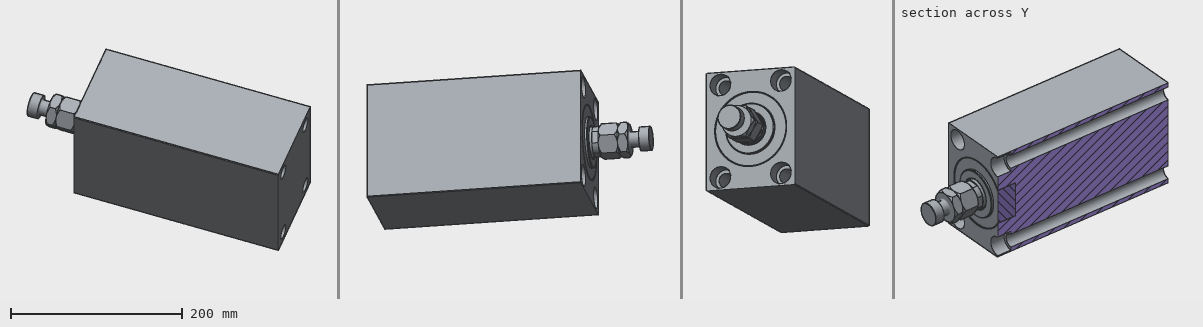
import cadquery as cq
import math

TOTAL_LENGTH = 326.0
WIDTH = 110.0
HEIGHT = 140.0
HOUSING_FRONT = 73.0
HOUSING_EDGE_CHAMFER = 1.0

BOLT_HOLE_DIAMETER = 17.3
BOLT_HEAD_DIAMETER = 25.5
BOLT_HEAD_DEPTH = 19.5
BOLT_SPACING_Y = 75.0
BOLT_SPACING_Z = 110.0

BUSH_DIAMETER = 87.5
BUSH_DEPTH = 26.0
BUSH_END = HOUSING_FRONT + BUSH_DEPTH
BUSH_MOUTH_CHAMFER = 1.0
COLLAR_DIAMETER = 60.3
COLLAR_FRONT = 69.8
COLLAR_CHAMFER = 1.0
WIPER_RECESS_DIAMETER = 38.8
WIPER_RECESS_DEPTH = 2.0
WIPER_RECESS_CHAMFER = 0.5

ROD_DIAMETER = 36.2
ROD_END_DIAMETER = 35.5
ROD_ACROSS_FLATS = 32.5
ROD_FRONT = 59.5
FLATS_END = 67.0

HEAD_DIAMETER = 28.5
HEAD_LENGTH = 12.5
HEAD_CHAMFER = 0.5
NECK_DIAMETER = 18.3
NECK_FILLET = 1.5
HEX_SIDES = 6
HEX_ACROSS_FLATS = 36.5
HEX_FRONT = 24.8
HEX_JOINT = 37.0


def cylinder_along_x(start, end, diameter):
    """Cylinder on the X axis from start to end."""
    return cq.Workplane("YZ", origin=(start, 0, 0)).circle(diameter / 2).extrude(end - start)


def chamfered_hexagon(start, end):
    """Hexagonal prism with flats facing +Z and -Z and its corners turned down at both ends."""
    across_corners = HEX_ACROSS_FLATS / math.cos(math.pi / HEX_SIDES)
    corner_drop = (across_corners - HEX_ACROSS_FLATS) / 2
    prism = cq.Workplane("YZ", origin=(start, 0, 0)).polygon(HEX_SIDES, across_corners).extrude(end - start)
    turned = cylinder_along_x(start, end, across_corners).faces("<X or >X").chamfer(corner_drop)
    return prism.intersect(turned)


def flared_recess(start, depth, diameter, chamfer):
    """Cutter for a round recess entered from start toward +X, with a chamfered mouth."""
    radius = diameter / 2
    half_section = [
        (start, 0),
        (start, radius + chamfer),
        (start + chamfer, radius),
        (start + depth, radius),
        (start + depth, 0),
    ]
    return cq.Workplane("XY").polyline(half_section).close().revolve(360, (0, 0, 0), (1, 0, 0))


def make_housing():
    """Block with four counterbored through holes and a blind bore for the bush."""
    block = (
        cq.Workplane("XY")
        .box(TOTAL_LENGTH - HOUSING_FRONT, WIDTH, HEIGHT, centered=(False, True, True))
        .translate((HOUSING_FRONT, 0, 0))
        .edges("|X")
        .chamfer(HOUSING_EDGE_CHAMFER)
    )
    block = (
        block.faces("<X")
        .workplane(origin=(HOUSING_FRONT, 0, 0))
        .rarray(BOLT_SPACING_Y, BOLT_SPACING_Z, 2, 2)
        .cboreHole(BOLT_HOLE_DIAMETER, BOLT_HEAD_DIAMETER, BOLT_HEAD_DEPTH)
    )
    return block.cut(flared_recess(HOUSING_FRONT, BUSH_DEPTH, BUSH_DIAMETER, BUSH_MOUTH_CHAMFER))


def make_bush():
    """Flush disc with a proud collar, bored for the rod and recessed around it at the front."""
    collar = (
        cylinder_along_x(COLLAR_FRONT, HOUSING_FRONT, COLLAR_DIAMETER)
        .faces("<X")
        .chamfer(COLLAR_CHAMFER)
    )
    disc = cylinder_along_x(HOUSING_FRONT, BUSH_END, BUSH_DIAMETER)
    bore = cylinder_along_x(COLLAR_FRONT, BUSH_END, ROD_DIAMETER)
    wiper_recess = flared_recess(
        COLLAR_FRONT, WIPER_RECESS_DEPTH, WIPER_RECESS_DIAMETER, WIPER_RECESS_CHAMFER
    )
    return disc.union(collar).cut(bore).cut(wiper_recess)


def make_rod():
    """Round shank whose slightly thinner front end carries four flats."""
    shank = cylinder_along_x(FLATS_END, BUSH_END, ROD_DIAMETER)
    square = (
        cq.Workplane("YZ", origin=(ROD_FRONT, 0, 0))
        .rect(ROD_ACROSS_FLATS, ROD_ACROSS_FLATS)
        .extrude(FLATS_END - ROD_FRONT)
    )
    wrench_end = cylinder_along_x(ROD_FRONT, FLATS_END, ROD_END_DIAMETER).intersect(square)
    return shank.union(wrench_end)


def make_pin():
    """Head and neck in front of two hexagons, seated on the end of the rod."""
    head = cylinder_along_x(0, HEAD_LENGTH, HEAD_DIAMETER).faces("<X").chamfer(HEAD_CHAMFER)
    neck = cylinder_along_x(HEAD_LENGTH, HEX_FRONT, NECK_DIAMETER)
    pin = head.union(neck).union(chamfered_hexagon(HEX_FRONT, HEX_JOINT))
    pin = pin.union(chamfered_hexagon(HEX_JOINT, ROD_FRONT))
    smallest_radius = cq.selectors.RadiusNthSelector(0)
    return pin.edges("%CIRCLE").edges(smallest_radius).fillet(NECK_FILLET)


housing = make_housing()
bush = make_bush()
rod = make_rod()
pin = make_pin()

result = cq.Compound.makeCompound([housing.val(), bush.val(), rod.val(), pin.val()])